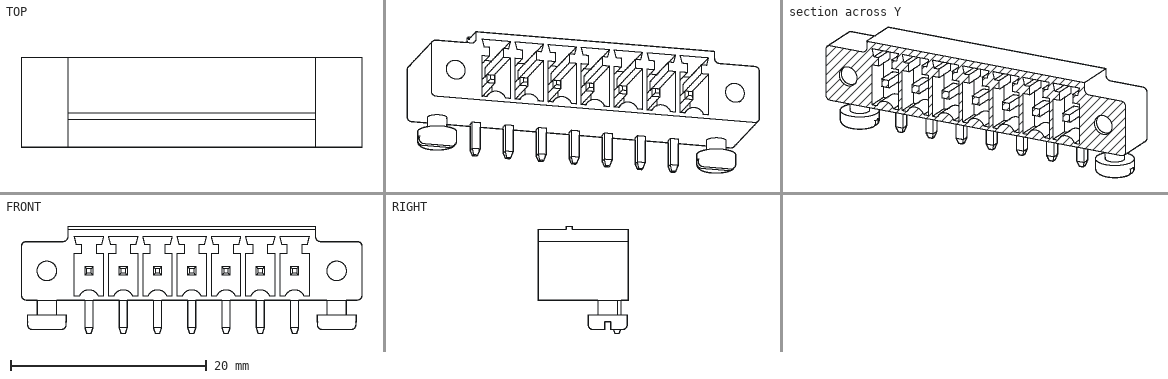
import cadquery as cq
import math

LENGTH = 34.8
DEPTH = 9.2
FLANGE_HEIGHT = 6.0
BODY_HEIGHT = 7.25
BODY_LENGTH = 25.3
CORNER_RADIUS = 0.5
FRONT_Y = -DEPTH / 2
REAR_Y = DEPTH / 2

RIDGE_HEIGHT = 0.3
RIDGE_WIDTH = 0.65
RIDGE_SETBACK = 2.85

CONTACT_COUNT = 7
PITCH = 3.5
AXIS_Z = 3.0
CAVITY_DEPTH = 7.0
CAVITY_WIDTH = 3.0
CAVITY_FLOOR_Z = 0.42
SHOULDER_Z = 4.75
NECK_WIDTH = 1.5
DOVETAIL_Z = 5.7
DOVETAIL_BASE_WIDTH = 2.6
CAVITY_TOP_Z = 6.5
FLOOR_RIB_RADIUS = 1.05
FLOOR_RIB_TOP_Z = 1.07

PIN_SIZE = 0.85
PIN_TIP_SIZE = 0.45
PIN_TIP_LENGTH = 0.6
PIN_SETBACK = 1.5
SOLDER_PIN_LENGTH = 3.4
SOLDER_PIN_Y = REAR_Y - 1.15

FLANGE_X = 14.8
INSERT_DIAMETER = 4.0
INSERT_BORE = 2.0
INSERT_DEPTH = 5.0
SCREW_Y = REAR_Y - 2.1
SHANK_DIAMETER = 2.0
SHANK_LENGTH = 1.5
HEAD_DIAMETER = 4.0
HEAD_HEIGHT = 1.5
HEAD_FILLET = 0.5
SLOT_WIDTH = 0.6
SLOT_DEPTH = 0.8

CONTACT_XS = [(i - (CONTACT_COUNT - 1) / 2) * PITCH for i in range(CONTACT_COUNT)]
FLANGE_XS = [-FLANGE_X, FLANGE_X]

SELECTION_MARGIN = 0.1


def make_housing():
    """Flanged block with a raised middle and rounded long edges."""
    flange = cq.Workplane("XY").box(LENGTH, DEPTH, FLANGE_HEIGHT, centered=(True, True, False))
    raised = cq.Workplane("XY").box(BODY_LENGTH, DEPTH, BODY_HEIGHT, centered=(True, True, False))
    block = flange.union(raised)
    block = block.faces("<X or >X").edges("|Y").fillet(CORNER_RADIUS)
    half_step = BODY_LENGTH / 2 + SELECTION_MARGIN
    step = cq.selectors.BoxSelector(
        (-half_step, FRONT_Y - SELECTION_MARGIN, FLANGE_HEIGHT - SELECTION_MARGIN),
        (half_step, REAR_Y + SELECTION_MARGIN, FLANGE_HEIGHT + SELECTION_MARGIN),
    )
    block = block.edges("|Y").edges(step).fillet(CORNER_RADIUS)
    ridge = (
        cq.Workplane("XY")
        .box(BODY_LENGTH, RIDGE_WIDTH, RIDGE_HEIGHT, centered=(True, False, False))
        .translate((0, FRONT_Y + RIDGE_SETBACK, BODY_HEIGHT))
    )
    return block.union(ridge)


def make_cavity(x):
    """Front-opening pocket: rectangle with a round floor rib, a neck and a dovetail on top."""
    half = CAVITY_WIDTH / 2
    half_neck = NECK_WIDTH / 2
    half_base = DOVETAIL_BASE_WIDTH / 2
    rib_center_z = FLOOR_RIB_TOP_Z - FLOOR_RIB_RADIUS
    half_rib_angle = math.acos((CAVITY_FLOOR_Z - rib_center_z) / FLOOR_RIB_RADIUS)
    half_rib = FLOOR_RIB_RADIUS * math.sin(half_rib_angle)
    arc_mid = FLOOR_RIB_RADIUS * math.sin(half_rib_angle / 2)
    arc_mid_z = rib_center_z + FLOOR_RIB_RADIUS * math.cos(half_rib_angle / 2)
    return (
        cq.Workplane("XZ", origin=(x, FRONT_Y, 0))
        .moveTo(0, FLOOR_RIB_TOP_Z)
        .threePointArc((arc_mid, arc_mid_z), (half_rib, CAVITY_FLOOR_Z))
        .lineTo(half, CAVITY_FLOOR_Z)
        .lineTo(half, SHOULDER_Z)
        .lineTo(half_neck, SHOULDER_Z)
        .lineTo(half_neck, DOVETAIL_Z)
        .lineTo(half_base, DOVETAIL_Z)
        .lineTo(half, CAVITY_TOP_Z)
        .lineTo(0, CAVITY_TOP_Z)
        .mirrorY()
        .extrude(-CAVITY_DEPTH)
    )


def make_pin(plane, length):
    """Square pin along the plane normal, ending in a tapered tip."""
    shaft_length = length - PIN_TIP_LENGTH
    shaft = cq.Workplane(plane).rect(PIN_SIZE, PIN_SIZE).extrude(shaft_length)
    tip = (
        cq.Workplane(plane)
        .workplane(offset=shaft_length)
        .rect(PIN_SIZE, PIN_SIZE)
        .workplane(offset=PIN_TIP_LENGTH)
        .rect(PIN_TIP_SIZE, PIN_TIP_SIZE)
        .loft(combine=True)
    )
    return shaft.union(tip)


def make_contact(x):
    """Angled contact: a mating pin inside the cavity and a solder pin below the housing."""
    mating_plane = cq.Plane(origin=(x, SOLDER_PIN_Y, AXIS_Z), xDir=(1, 0, 0), normal=(0, -1, 0))
    solder_plane = cq.Plane(origin=(x, SOLDER_PIN_Y, AXIS_Z), xDir=(1, 0, 0), normal=(0, 0, -1))
    mating_length = SOLDER_PIN_Y - FRONT_Y - PIN_SETBACK
    mating_pin = make_pin(mating_plane, mating_length)
    solder_pin = make_pin(solder_plane, AXIS_Z + SOLDER_PIN_LENGTH)
    return mating_pin.union(solder_pin)


def make_insert_cylinder(x, diameter):
    """Cylinder on an insert axis, running back from the flange front."""
    return cq.Workplane("XZ", origin=(x, FRONT_Y, AXIS_Z)).circle(diameter / 2).extrude(-INSERT_DEPTH)


def make_screw(x):
    """Slotted mounting screw hanging below the flange."""
    shank = cq.Workplane("XY").circle(SHANK_DIAMETER / 2).extrude(-SHANK_LENGTH)
    head = (
        cq.Workplane("XY", origin=(0, 0, -SHANK_LENGTH))
        .circle(HEAD_DIAMETER / 2)
        .extrude(-HEAD_HEIGHT)
        .faces("<Z")
        .edges()
        .fillet(HEAD_FILLET)
    )
    slot = (
        cq.Workplane("XY")
        .box(HEAD_DIAMETER, SLOT_WIDTH, SLOT_DEPTH, centered=(True, True, False))
        .translate((0, 0, -SHANK_LENGTH - HEAD_HEIGHT))
    )
    return shank.union(head.cut(slot)).translate((x, SCREW_Y, 0))


connector = make_housing()
for contact_x in CONTACT_XS:
    connector = connector.cut(make_cavity(contact_x))
for contact_x in CONTACT_XS:
    connector = connector.union(make_contact(contact_x))
for flange_x in FLANGE_XS:
    connector = connector.union(make_screw(flange_x))

for flange_x in FLANGE_XS:
    bore = make_insert_cylinder(flange_x, INSERT_BORE)
    opening = make_insert_cylinder(flange_x, INSERT_DIAMETER)
    bushing = opening.cut(bore)
    connector = connector.cut(opening, clean=False).union(bushing, clean=False)

result = connector